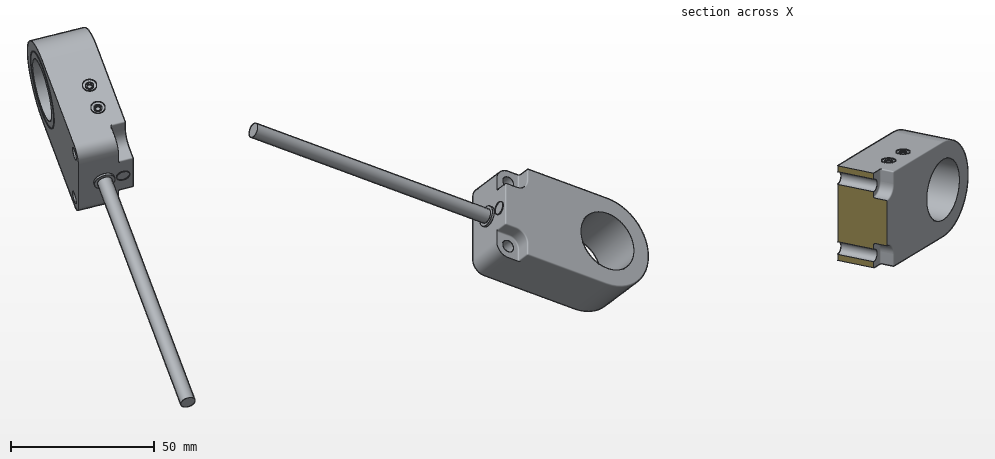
import cadquery as cq
import math


overall_length = 160.6
height = 35.3
depth = 20.0
eye_radius = height / 2
housing_length = 60.9
housing_end = housing_length - eye_radius
cable_end = overall_length - eye_radius
corner_radius = 4.8
back_edge_radius = 0.5

bore_diameter = 22.5
groove_inner_diameter = 27.5
groove_width = 0.24
groove_depth = 0.2

mount_hole_diameter = 4.5
mount_x = housing_end - corner_radius
mount_z = 13.0
pocket_radius = 4.5
pocket_depth = 5.5
pocket_lip_radius = 0.5
pocket_floor_radius = 0.5

screw_xs = (15.0, 24.9)
screw_y = 12.7
screw_diameter = 5.0
screw_recess = 0.3
socket_diameter = 2.9
socket_depth = 0.6
socket_core_diameter = 2.0
socket_core_depth = 1.3

cable_diameter = 5.3
cable_y = 9.3
collar_diameter = 7.5
collar_length = 0.8
lamp_diameter = 4.8
lamp_y = 16.2
lamp_length = 0.3


def disc_on_front(diameter, length):
    """Cylinder about the eye axis, from the front face towards the back."""
    return cq.Workplane("XZ").circle(diameter / 2).extrude(-length)


def housing_block():
    """Plate with a round eye end and two rounded corners at the cable end."""
    block = (
        cq.Workplane("XZ")
        .moveTo(0, eye_radius)
        .lineTo(housing_end, eye_radius)
        .lineTo(housing_end, -eye_radius)
        .lineTo(0, -eye_radius)
        .threePointArc((-eye_radius, 0), (0, eye_radius))
        .close()
        .extrude(-depth)
    )
    return block.edges("|Y and >X").fillet(corner_radius)


def corner_pocket():
    """Upper corner pocket: open to the top, the end and the back, round about the hole axis."""
    left = mount_x - pocket_radius
    floor = mount_z - pocket_radius
    reach = 2 * pocket_radius
    return (
        cq.Workplane("XZ", origin=(0, depth - pocket_depth, 0))
        .moveTo(left, mount_z + reach)
        .lineTo(left, floor)
        .lineTo(mount_x + reach, floor)
        .lineTo(mount_x + reach, mount_z + reach)
        .close()
        .extrude(-pocket_depth)
        .edges("|Y and <X and <Z")
        .fillet(pocket_radius)
    )


def end_disc(diameter, y, end):
    """Cylinder along X on the end face, reaching to the given X."""
    return (
        cq.Workplane("YZ", origin=(housing_end, y, 0))
        .circle(diameter / 2)
        .extrude(end - housing_end)
    )


def top_hole(x, diameter, hole_depth):
    """Blind round hole sunk into the top face."""
    return (
        cq.Workplane("XY", origin=(x, screw_y, eye_radius - hole_depth))
        .circle(diameter / 2)
        .extrude(hole_depth)
    )


housing = housing_block()

upper_pocket = corner_pocket()
housing = housing.cut(upper_pocket).cut(upper_pocket.mirror("XY"))
for side in (1, -1):
    for lip_x, lip_z in (
        (mount_x - pocket_radius, side * eye_radius),
        (housing_end, side * (mount_z - pocket_radius)),
    ):
        lip_middle = (lip_x, depth - pocket_depth / 2, lip_z)
        housing = housing.edges(cq.NearestToPointSelector(lip_middle)).fillet(pocket_lip_radius)
    wall_foot = (
        mount_x - pocket_radius * math.sqrt(0.5),
        depth - pocket_depth,
        side * (mount_z - pocket_radius * math.sqrt(0.5)),
    )
    housing = housing.edges(cq.NearestToPointSelector(wall_foot)).fillet(pocket_floor_radius)
housing = housing.faces(">Y").edges().fillet(back_edge_radius)

groove = disc_on_front(groove_inner_diameter + 2 * groove_width, groove_depth).cut(
    disc_on_front(groove_inner_diameter, groove_depth)
)
housing = housing.cut(disc_on_front(bore_diameter, depth)).cut(groove)

mount_holes = (
    cq.Workplane("XZ")
    .pushPoints([(mount_x, mount_z), (mount_x, -mount_z)])
    .circle(mount_hole_diameter / 2)
    .extrude(-depth)
)
housing = housing.cut(mount_holes)

for screw_x in screw_xs:
    housing = housing.cut(top_hole(screw_x, screw_diameter, screw_recess))
    housing = housing.cut(top_hole(screw_x, socket_diameter, socket_depth))
    housing = housing.cut(top_hole(screw_x, socket_core_diameter, socket_core_depth))

result = (
    housing
    .union(end_disc(collar_diameter, cable_y, housing_end + collar_length))
    .union(end_disc(lamp_diameter, lamp_y, housing_end + lamp_length))
    .union(end_disc(cable_diameter, cable_y, cable_end))
)